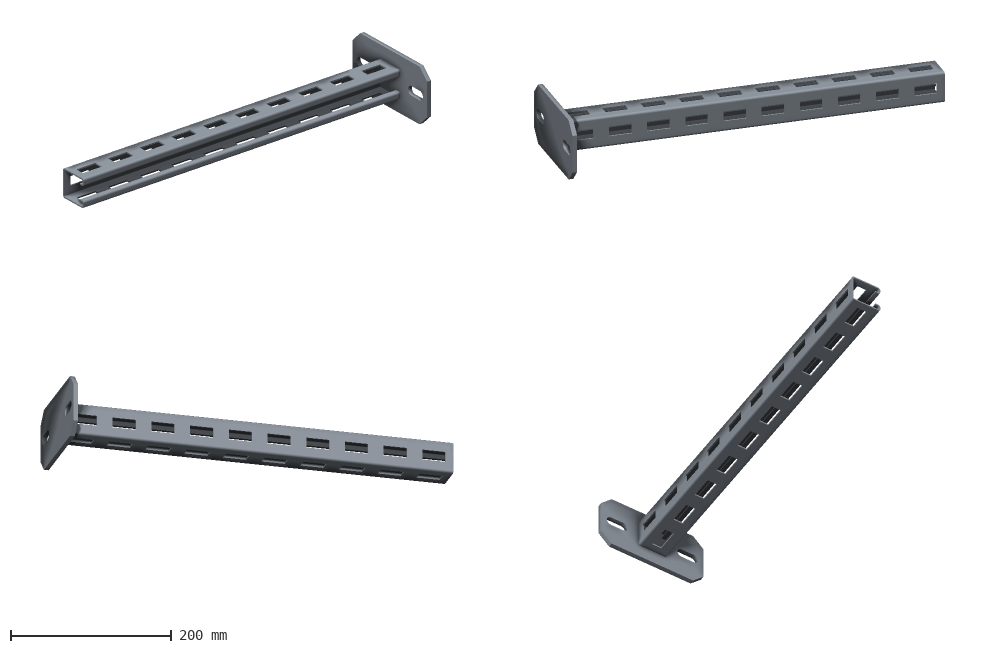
import cadquery as cq

total_length = 506.0

plate_width = 150.0
plate_height = 80.0
plate_thickness = 6.0
plate_chamfer = 15.0
plate_slot_length = 30.0
plate_slot_height = 13.0
plate_slot_spacing = 103.0

channel_size = 41.0
sheet_thickness = 2.0
outer_bend_radius = 3.0
inner_bend_radius = outer_bend_radius - sheet_thickness
mouth_height = 20.0
hook_length = 7.0
channel_length = total_length - plate_thickness

slot_count = 10
slot_length = 30.0
slot_width = 13.0
slot_end_margin = 10.0
slot_pitch = (channel_length - 2 * slot_end_margin - slot_length) / (slot_count - 1)


def make_plate():
    """Chamfered plate with a horizontal mounting slot on each side of the channel."""
    blank = (
        cq.Workplane("XZ", origin=(0, total_length, 0))
        .rect(plate_width, plate_height)
        .extrude(plate_thickness)
        .edges("|Y")
        .chamfer(plate_chamfer)
    )
    mounting_slots = (
        cq.Workplane("XZ", origin=(0, total_length, 0))
        .pushPoints([(-plate_slot_spacing / 2, 0), (plate_slot_spacing / 2, 0)])
        .slot2D(plate_slot_length, plate_slot_height)
        .extrude(plate_thickness)
    )
    return blank.cut(mounting_slots)


def mirror_down(upper_points):
    """Continue a list of (x, z) points with its mirror image below z = 0."""
    return upper_points + [(x, -z) for x, z in reversed(upper_points)]


def round_bends(body, corners, radius):
    """Fillet the lengthwise edges that run through the given (x, z) corners."""
    for x, z in corners:
        edge = cq.selectors.NearestToPointSelector((x, channel_length / 2, z))
        body = body.edges("|Y").edges(edge).fillet(radius)
    return body


def make_channel_blank():
    """Bent sheet: web, two flanges, and two lips whose ends hook back inwards."""
    outer = channel_size / 2
    inner = outer - sheet_thickness
    hook_outer = mouth_height / 2
    hook_inner = hook_outer + sheet_thickness
    hook_tip = outer - hook_length

    outer_corners = mirror_down([(outer, hook_outer), (outer, outer), (-outer, outer)])
    inner_corners = mirror_down([(inner, hook_inner), (inner, inner), (-inner, inner)])
    outline = (
        [(hook_tip, hook_outer)] + outer_corners + [(hook_tip, -hook_outer)]
        + [(hook_tip, -hook_inner)] + inner_corners[::-1] + [(hook_tip, hook_inner)]
    )
    blank = cq.Workplane("XZ").polyline(outline).close().extrude(-channel_length)
    blank = round_bends(blank, outer_corners, outer_bend_radius)
    return round_bends(blank, inner_corners, inner_bend_radius)


def make_channel():
    """Channel with a row of slots through both flanges and another through the web."""
    channel = make_channel_blank()
    flange_cutter = cq.Workplane("XY").box(slot_width, slot_length, channel_size)
    web_cutter = cq.Workplane("XY").box(channel_size / 2, slot_length, slot_width)
    for index in range(slot_count):
        slot_y = slot_end_margin + slot_length / 2 + index * slot_pitch
        channel = channel.cut(flange_cutter.translate((0, slot_y, 0)))
        channel = channel.cut(web_cutter.translate((-channel_size / 2, slot_y, 0)))
    return channel


plate = make_plate()
channel = make_channel()

result = cq.Compound.makeCompound([plate.val(), channel.val()])